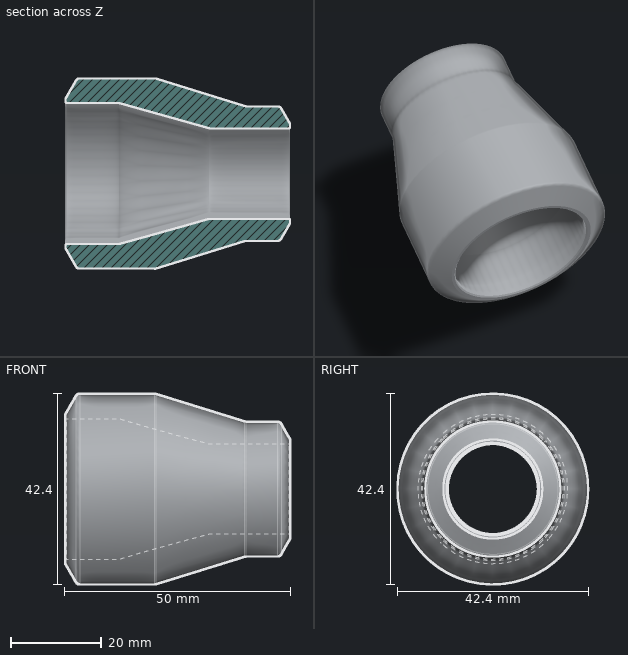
import cadquery as cq
import math

total_length = 50.0
taper_length = 20.0
outer_taper_start = 20.0
bore_taper_start = 12.0
outer_taper_end = outer_taper_start + taper_length
bore_taper_end = bore_taper_start + taper_length

large_outer_radius = 42.4 / 2
large_bore_radius = 31.2 / 2
small_outer_radius = 30.0 / 2
small_bore_radius = 20.0 / 2

root_wall = 1.0
bevel_angle = math.radians(30)

bevel_round_radius = 1.0
taper_round_radius = 1.0
bore_mouth_chamfer = 0.3


def bevel_length(outer_radius, bore_radius):
    """Axial length of the bevel from the root face to the outer cylinder."""
    return (outer_radius - bore_radius - root_wall) * math.tan(bevel_angle)


def edges_at(x):
    """Selector for the circular edge lying in the plane at the given X."""
    margin = 0.01
    reach = large_outer_radius
    return cq.selectors.BoxSelector((x - margin, -reach, -reach), (x + margin, reach, reach))


def revolve_profile(profile_points):
    """Solid of revolution about X from the (x, radius) points of its profile."""
    closed_profile = [(0, 0), *profile_points, (total_length, 0)]
    return cq.Workplane("XY").polyline(closed_profile).close().revolve(360, (0, 0, 0), (1, 0, 0))


def make_outer_body():
    """Large cylinder, cone and small cylinder, with bevelled and rounded ends."""
    large_bevel_end = bevel_length(large_outer_radius, large_bore_radius)
    small_bevel_start = total_length - bevel_length(small_outer_radius, small_bore_radius)
    body = revolve_profile([
        (0, large_bore_radius + root_wall),
        (large_bevel_end, large_outer_radius),
        (outer_taper_start, large_outer_radius),
        (outer_taper_end, small_outer_radius),
        (small_bevel_start, small_outer_radius),
        (total_length, small_bore_radius + root_wall),
    ])
    for bevel_corner in (large_bevel_end, small_bevel_start):
        body = body.edges(edges_at(bevel_corner)).fillet(bevel_round_radius)
    for taper_corner in (outer_taper_start, outer_taper_end):
        body = body.edges(edges_at(taper_corner)).fillet(taper_round_radius)
    return body


def make_bore():
    """Large and small bore joined by a cone."""
    return revolve_profile([
        (0, large_bore_radius),
        (bore_taper_start, large_bore_radius),
        (bore_taper_end, small_bore_radius),
        (total_length, small_bore_radius),
    ])


def chamfer_bore_mouths(body):
    """Chamfer the inner edge of the root face at both ends."""
    for end_face in ("<X", ">X"):
        mouth = body.faces(end_face).edges(cq.selectors.RadiusNthSelector(0))
        body = mouth.chamfer(bore_mouth_chamfer)
    return body


result = chamfer_bore_mouths(make_outer_body().cut(make_bore()))